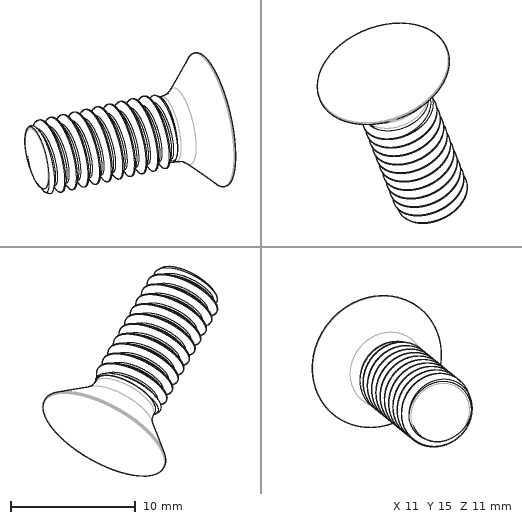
import cadquery as cq
import math

length = 15.0
head_radius = 5.498
rim_height = 0.16
rim_edge_radius = 0.06
neck_radius = 2.68
neck_fillet_radius = 1.58
thread_start = 3.93
position_tolerance = 0.02

pitch = length / 15
major_radius = 3.03
root_radius = 2.4
crest_width = pitch / 10
flank_slope = math.tan(math.radians(30))
crest_phase = length - 1.25 * pitch
turns_toward_head = 11
turns_past_tip = 3
ridge_embedding = 0.08

tip_radius = 2.65
end_cone_slope = flank_slope
runout_radius = 2.75
envelope_radius = 3.3

dish_radius = 2.49
dish_depth = 0.12


def round_corner(body, distance, radius):
    """Fillet the one circular edge lying at this distance from the head face."""
    ring = body.edges("%CIRCLE").filter(lambda edge: abs(edge.Center().z - distance) < position_tolerance)
    return ring.fillet(radius)


def head_and_neck():
    """Revolved rim, 45 degree countersink, rounded neck."""
    countersink_height = head_radius - neck_radius
    cone_end = rim_height + countersink_height
    profile = (
        cq.Workplane("XZ")
        .lineTo(head_radius, 0)
        .lineTo(head_radius, rim_height)
        .lineTo(neck_radius, cone_end)
        .lineTo(neck_radius, thread_start)
        .lineTo(0, thread_start)
        .close()
    )
    body = profile.revolve(360, (0, 0), (0, 1))
    body = round_corner(body, cone_end, neck_fillet_radius)
    body = round_corner(body, rim_height, rim_edge_radius)
    return round_corner(body, 0, rim_edge_radius)


def thread_ridge():
    """Trapezoid swept along a helix that runs past both ends of the thread."""
    ridge_start = crest_phase - turns_toward_head * pitch
    helix_height = (turns_toward_head + turns_past_tip) * pitch
    helix = cq.Wire.makeHelix(pitch, helix_height, root_radius).translate(cq.Vector(0, 0, ridge_start))
    inner_radius = root_radius - ridge_embedding
    half_crest = crest_width / 2
    half_base = half_crest + (major_radius - inner_radius) * flank_slope
    return (
        cq.Workplane("XZ")
        .polyline(
            [
                (inner_radius, ridge_start - half_base),
                (major_radius, ridge_start - half_crest),
                (major_radius, ridge_start + half_crest),
                (inner_radius, ridge_start + half_base),
            ]
        )
        .close()
        .sweep(cq.Workplane(obj=helix), isFrenet=True)
    )


def thread_envelope():
    """Revolved limit of the thread, with a runout cone at the neck and a cone at the tip."""
    runout_end = thread_start + (envelope_radius - runout_radius) / end_cone_slope
    tip_cone_start = length - (envelope_radius - tip_radius) / end_cone_slope
    return (
        cq.Workplane("XZ")
        .moveTo(0, thread_start)
        .lineTo(runout_radius, thread_start)
        .lineTo(envelope_radius, runout_end)
        .lineTo(envelope_radius, tip_cone_start)
        .lineTo(tip_radius, length)
        .lineTo(0, length)
        .close()
        .revolve(360, (0, 0), (0, 1))
    )


def thread_core():
    """Plain cylinder at the root of the thread."""
    return cq.Workplane("XY").workplane(offset=thread_start).circle(root_radius).extrude(length - thread_start)


def tip_dish():
    """Cone with its base on the tip face."""
    return (
        cq.Workplane("XZ")
        .moveTo(0, length - dish_depth)
        .lineTo(dish_radius, length)
        .lineTo(0, length)
        .close()
        .revolve(360, (0, 0), (0, 1))
    )


threaded_shank = thread_ridge().intersect(thread_envelope()).union(thread_core())
screw = head_and_neck().union(threaded_shank).cut(tip_dish())
result = screw.rotate((0, 0, 0), (1, 0, 0), 90)